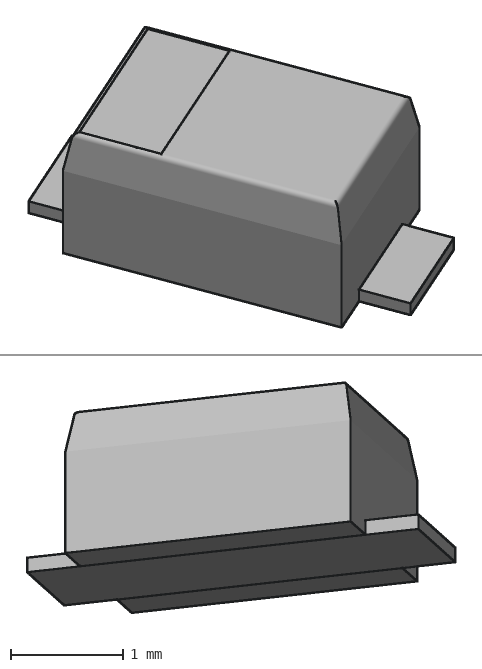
import cadquery as cq
import math

housing_length = 2.7
housing_width = 1.8
housing_height = 1.35
taper_start = 0.95
taper_angle = 10.0
top_edge_radius = 0.05

lead_length = 3.7
lead_width = 1.0
lead_thickness = 0.137

band_edge_x = -0.445
band_thickness = 0.01

taper_inset = (housing_height - taper_start) * math.tan(math.radians(taper_angle))
rounding_inset = top_edge_radius * math.tan(math.radians((90 - taper_angle) / 2))
flat_inset = taper_inset + rounding_inset
flat_length = housing_length - 2 * flat_inset
flat_width = housing_width - 2 * flat_inset


def make_housing_block():
    lower = cq.Workplane("XY").rect(housing_length, housing_width).extrude(taper_start)
    upper = (
        cq.Workplane("XY", origin=(0, 0, taper_start))
        .rect(housing_length, housing_width)
        .extrude(housing_height - taper_start, taper=taper_angle)
    )
    return lower.union(upper).faces(">Z").edges().fillet(top_edge_radius)


def make_lead_strip():
    return cq.Workplane("XY").rect(lead_length, lead_width).extrude(lead_thickness)


def make_polarity_band():
    band_start_x = -flat_length / 2
    band_length = band_edge_x - band_start_x
    center_x = (band_start_x + band_edge_x) / 2
    return (
        cq.Workplane("XY", origin=(center_x, 0, housing_height - band_thickness))
        .rect(band_length, flat_width)
        .extrude(band_thickness)
    )


lead_strip = make_lead_strip()
polarity_band = make_polarity_band()

housing = make_housing_block().cut(lead_strip).cut(polarity_band).solids()

result = cq.Compound.makeCompound([housing.val(), lead_strip.val(), polarity_band.val()])